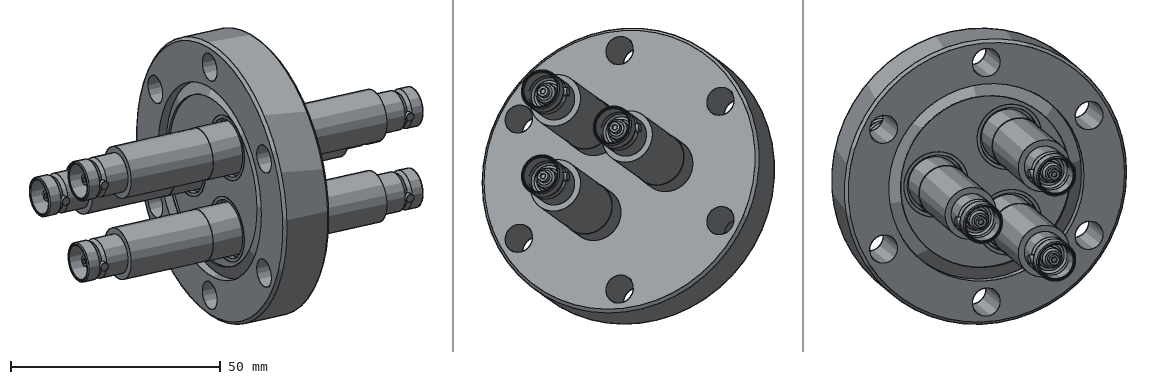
import cadquery as cq
import math

total_length = 92.9

flange_diameter = 69.9
flange_thickness = 12.7
flange_chamfer = 0.7

bolt_count = 6
bolt_circle_radius = 29.4
bolt_hole_diameter = 6.9

recess_radius = 24.2
recess_depth = 2.2
knife_edge_radius = 21.0
knife_edge_depth = 0.65
disc_depth = 1.2

feedthrough_count = 3
feedthrough_circle_radius = 12.1
seat_radius = 8.0
seat_depth = 0.1
gap_radius = 7.15
gap_depth = 1.7
collar_radius = 6.4
collar_end = 12.7
tube_radius = 6.3
tube_end = 35.4

connector_radius = 4.8
rim_chamfer = 0.3
groove_center_setback = 4.2
groove_width = 1.95
groove_depth = 0.6
pin_radius = 1.0
pin_span = 11.15

socket_mouth_radius = 4.4
socket_mouth_chamfer = 0.2
socket_depth = 6.0
socket_floor_radius = 3.6
insulator_radius = 2.4
insulator_depth = 3.25
insulator_chamfer = 0.6
insulator_foot = 0.6
contact_outer_radius = 1.3
contact_inner_radius = 0.65
contact_tip_depth = 1.9
contact_bore_depth = 2.3

half_length = total_length / 2
half_thickness = flange_thickness / 2
flange_radius = flange_diameter / 2


def revolve_about_y(points):
    """Revolve a closed (radius, y) outline about the Y axis."""
    outline = cq.Workplane("XY").polyline(points).close()
    return outline.revolve(360, (0, 0, 0), (0, 1, 0))


def ring_positions(count, radius, start_angle):
    """Evenly spaced (x, z) centres on a circle."""
    angles = [math.radians(start_angle + 360 * i / count) for i in range(count)]
    return [(radius * math.cos(a), radius * math.sin(a)) for a in angles]


def make_flange():
    front = -half_thickness
    back = half_thickness
    flange = revolve_about_y([
        (0, front + disc_depth),
        (knife_edge_radius, front + disc_depth),
        (knife_edge_radius, front + knife_edge_depth),
        (recess_radius, front + recess_depth),
        (recess_radius, front),
        (flange_radius - flange_chamfer, front),
        (flange_radius, front + flange_chamfer),
        (flange_radius, back - flange_chamfer),
        (flange_radius - flange_chamfer, back),
        (0, back),
    ])
    for x, z in ring_positions(bolt_count, bolt_circle_radius, 90):
        hole = revolve_about_y([
            (0, front),
            (bolt_hole_diameter / 2, front),
            (bolt_hole_diameter / 2, back),
            (0, back),
        ])
        flange = flange.cut(hole.translate((x, 0, z)))
    return flange


def make_seat_cutter():
    disc_face = -half_thickness + disc_depth
    return revolve_about_y([
        (0, disc_face),
        (seat_radius, disc_face),
        (seat_radius, disc_face + seat_depth),
        (gap_radius, disc_face + seat_depth),
        (gap_radius, disc_face + gap_depth),
        (0, disc_face + gap_depth),
    ])


def make_half_feedthrough():
    """One half of a feedthrough, from mid-flange out to its +Y tip."""
    groove_center = half_length - groove_center_setback
    groove_floor_radius = connector_radius - groove_depth
    body = revolve_about_y([
        (0, 0),
        (collar_radius, 0),
        (collar_radius, collar_end),
        (tube_radius, collar_end),
        (tube_radius, tube_end),
        (connector_radius, tube_end),
        (connector_radius, groove_center - groove_width / 2),
        (groove_floor_radius, groove_center),
        (connector_radius, groove_center + groove_width / 2),
        (connector_radius, half_length - rim_chamfer),
        (connector_radius - rim_chamfer, half_length),
        (0, half_length),
    ])
    pins = (
        cq.Workplane("YZ")
        .center(groove_center, 0)
        .circle(pin_radius)
        .extrude(pin_span / 2, both=True)
    )
    socket_radius = socket_mouth_radius - socket_mouth_chamfer
    socket_floor_taper = socket_radius - socket_floor_radius
    socket_floor = half_length - socket_depth
    insulator_face = half_length - insulator_depth
    contact_tip = half_length - contact_tip_depth
    contact_bore_floor = half_length - contact_bore_depth
    socket = revolve_about_y([
        (0, half_length),
        (socket_mouth_radius, half_length),
        (socket_radius, half_length - socket_mouth_chamfer),
        (socket_radius, socket_floor + socket_floor_taper),
        (socket_floor_radius, socket_floor),
        (insulator_radius + insulator_foot, socket_floor),
        (insulator_radius, socket_floor + insulator_foot),
        (insulator_radius, insulator_face - insulator_chamfer),
        (insulator_radius - insulator_chamfer, insulator_face),
        (contact_outer_radius, insulator_face),
        (contact_outer_radius, contact_tip),
        (contact_inner_radius, contact_tip),
        (contact_inner_radius, contact_bore_floor),
        (0, contact_bore_floor),
    ])
    return body.union(pins).cut(socket)


half_feedthrough = make_half_feedthrough()
feedthrough = half_feedthrough.union(half_feedthrough.mirror("XZ"))

result = make_flange()
for x, z in ring_positions(feedthrough_count, feedthrough_circle_radius, 180):
    result = result.cut(make_seat_cutter().translate((x, 0, z)))
    result = result.union(feedthrough.translate((x, 0, z)))